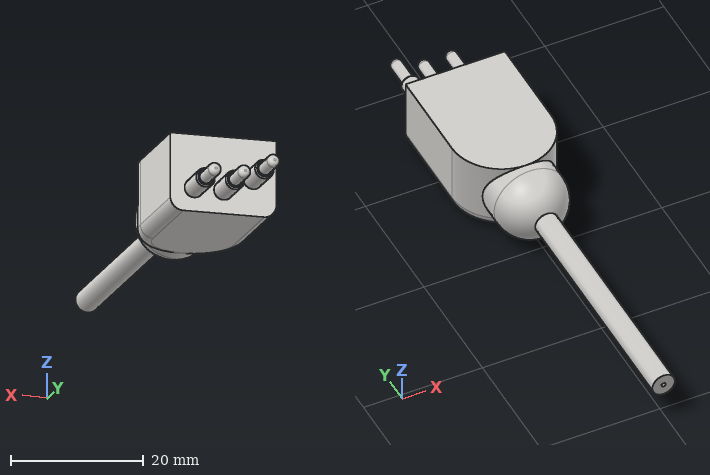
import cadquery as cq

total_length = 82.8

body_width = 16.7
body_height = 12.1
body_nose_y = 47.1
pin_face_y = 71.3
bottom_fillet = 2.0

relief_radius = body_height / 2
dome_center_y = 45.8

cable_diameter = 3.8
core_diameter = 0.7
core_depth = 0.8

pin_pitch = 4.6
sleeve_diameter = 3.0
sleeve_length = 6.3
sleeve_chamfer = 0.25
tip_diameter = 2.0
tip_rounding = 0.8
upper_pin_z = -0.3
lower_pin_z = -2.4
pin_positions = [
    (-pin_pitch, upper_pin_z),
    (0, lower_pin_z),
    (pin_pitch, lower_pin_z),
]


def cylinder_along_y(diameter, start_y, length, x=0, z=0):
    """Cylinder that starts at start_y and extends toward +Y."""
    return (
        cq.Workplane("XZ", origin=(x, start_y, z))
        .circle(diameter / 2)
        .extrude(-length)
    )


def make_body():
    """Block with a semicircular cable end and rounded lower side edges."""
    half_width = body_width / 2
    arc_center_y = body_nose_y + half_width
    return (
        cq.Workplane("XY", origin=(0, 0, -body_height / 2))
        .moveTo(half_width, pin_face_y)
        .lineTo(-half_width, pin_face_y)
        .lineTo(-half_width, arc_center_y)
        .threePointArc((0, body_nose_y), (half_width, arc_center_y))
        .close()
        .extrude(body_height)
        .faces("<Z")
        .edges("not >Y")
        .fillet(bottom_fillet)
    )


def make_strain_relief():
    """Cylinder reaching into the body, ending in a dome around the cable."""
    inner_end_y = dome_center_y + body_width / 2
    dome_tip_y = dome_center_y - relief_radius
    return (
        cq.Workplane("XY")
        .moveTo(0, inner_end_y)
        .lineTo(relief_radius, inner_end_y)
        .lineTo(relief_radius, dome_center_y)
        .radiusArc((0, dome_tip_y), relief_radius)
        .close()
        .revolve(360, (0, 0, 0), (0, 1, 0))
    )


def make_cable():
    """Round cable with a small core hole in its free end."""
    cable = cylinder_along_y(cable_diameter, 0, dome_center_y)
    return cable.cut(cylinder_along_y(core_diameter, 0, core_depth))


def make_pin(x, z):
    """Chamfered sleeve carrying a thinner, round-ended tip."""
    sleeve = cylinder_along_y(sleeve_diameter, pin_face_y, sleeve_length, x, z)
    sleeve = sleeve.faces(">Y").chamfer(sleeve_chamfer)
    tip = cylinder_along_y(tip_diameter, pin_face_y, total_length - pin_face_y, x, z)
    return sleeve.union(tip.faces(">Y").edges().fillet(tip_rounding))


result = make_body().union(make_strain_relief()).union(make_cable())
for pin_x, pin_z in pin_positions:
    result = result.union(make_pin(pin_x, pin_z))